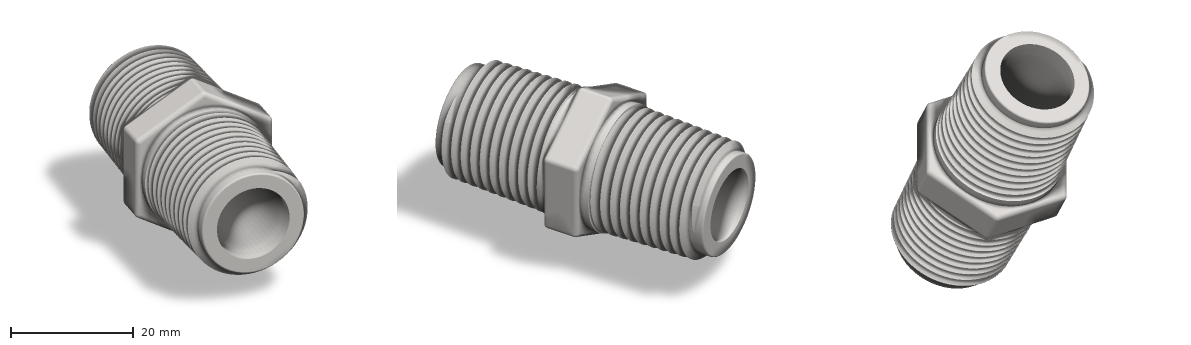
import cadquery as cq
import math


length = 50.05
bore_diameter = 12.7
end_diameter = 17.9
end_fillet = 0.3

hex_flats = 23.95
hex_width = 6.45
hex_fillet = 0.8
collar_diameter = 22.2
collar_width = 9.6

turns = 14
turns_span = 25.4
pitch = turns_span / turns
taper = 1 / 32
taper_angle = math.degrees(math.atan(taper))
thread_inset = 1.9
crest_radius = 10.3
crest_flat = 0.1
flank_angle = 30
root_overlap = 0.1

full_thread_angle = 30
runout_angle = 35

end_radius = end_diameter / 2
thread_depth = crest_radius - end_radius
thread_start = -length / 2 + thread_inset
collar_face = -collar_width / 2
thread_length = collar_face + pitch / 2 - thread_start


def flat_face(points):
    """Planar face through the given points."""
    return cq.Face.makeFromWires(cq.Wire.makePolygon(points, close=True))


def thread_profile():
    """Trapezoid as (radial, axial) offsets from the middle of the crest; its base sinks into the core."""
    depth = thread_depth + root_overlap
    crest_half = crest_flat / 2
    base_half = crest_half + depth * math.tan(math.radians(flank_angle))
    return [(-depth, -base_half), (0, -crest_half), (0, crest_half), (-depth, base_half)]


def thread_ridge(start_radius, start_z, start_angle, rise, cone_angle):
    """Ridge whose corners follow conical helices, closed by a flat face at each end."""
    slope = math.cos(math.radians(cone_angle))
    helices = []
    for radial, axial in thread_profile():
        helix = cq.Wire.makeHelix(pitch / slope, rise / slope, start_radius + radial, angle=cone_angle)
        helix = helix.translate(cq.Vector(0, 0, start_z + axial))
        helices.append(helix.rotate(cq.Vector(), cq.Vector(0, 0, 1), start_angle).Edges()[0])

    faces = []
    for index, helix in enumerate(helices):
        faces.append(cq.Face.makeRuledSurface(helices[index - 1], helix))
    faces.append(flat_face([helix.startPoint() for helix in helices]))
    faces.append(flat_face([helix.endPoint() for helix in helices]))
    return cq.Solid.makeSolid(cq.Shell.makeShell(faces))


def make_full_thread():
    """The full-height thread as a list of equal ridges, each close to one turn long."""
    ridge_count = math.ceil(thread_length / pitch)
    rise = thread_length / ridge_count
    ridges = []
    for index in range(ridge_count):
        height = index * rise
        radius = crest_radius + height * taper
        angle = full_thread_angle + 360 * height / pitch
        ridges.append(thread_ridge(radius, thread_start + height, angle, rise, taper_angle))
    return ridges


def make_runout():
    """Fading first part of the thread, its crest climbing from the plain end to full height."""
    rise = pitch * runout_angle / 360
    climb_angle = math.degrees(math.atan(thread_depth / rise))
    start_angle = full_thread_angle - runout_angle
    return thread_ridge(end_radius, thread_start - rise, start_angle, rise, climb_angle)


def make_threaded_end():
    """Plain end, cone under the thread, and the thread; the end lies on the -Z side."""
    cone_end_radius = end_radius - thread_start * taper
    core = (
        cq.Workplane("XZ")
        .moveTo(0, -length / 2)
        .lineTo(end_radius, -length / 2)
        .lineTo(end_radius, thread_start)
        .lineTo(cone_end_radius, 0)
        .lineTo(0, 0)
        .close()
        .revolve(360, (0, 0, 0), (0, 1, 0))
        .faces("<Z")
        .edges()
        .fillet(end_fillet)
    )
    return cq.Workplane(core.val().fuse(make_runout(), *make_full_thread()))


def make_hexagon():
    """Hexagon with flats facing +X and -X and every edge rounded."""
    corner_diameter = hex_flats / math.cos(math.radians(30))
    return (
        cq.Workplane("XY")
        .polygon(6, corner_diameter)
        .extrude(hex_width / 2, both=True)
        .edges()
        .fillet(hex_fillet)
        .rotate((0, 0, 0), (0, 0, 1), 30)
    )


first_end = make_threaded_end()

full_thread_direction = (
    math.cos(math.radians(full_thread_angle)),
    math.sin(math.radians(full_thread_angle)),
    0,
)
second_end = first_end.rotate((0, 0, 0), full_thread_direction, 180)

collar = cq.Workplane("XY").circle(collar_diameter / 2).extrude(collar_width / 2, both=True)
bore = cq.Workplane("XY").circle(bore_diameter / 2).extrude(length / 2, both=True)

nipple = collar.union(make_hexagon()).union(first_end).union(second_end).cut(bore)

result = nipple.rotate((0, 0, 0), (1, 1, 1), 120)